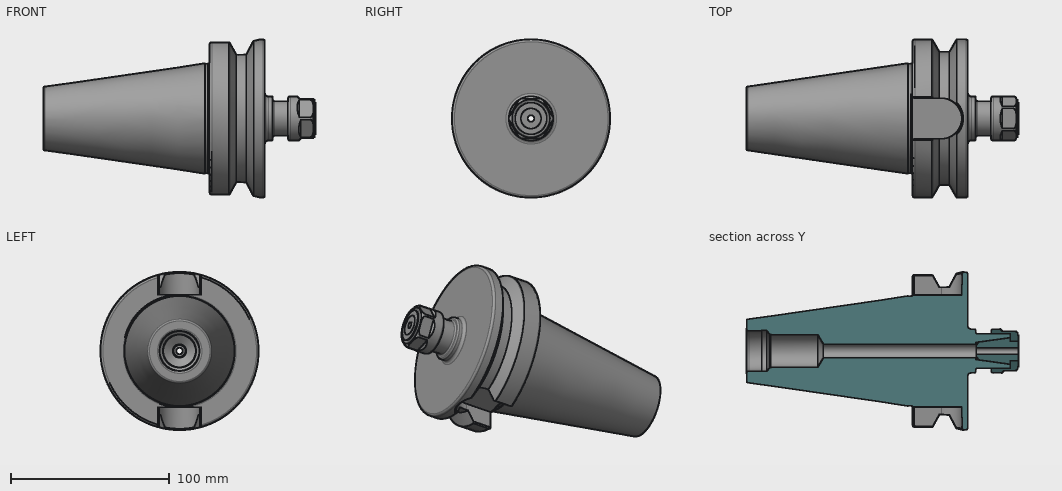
import cadquery as cq
import math


gauge_radius = 69.85 / 2
taper_length = 101.8
shank_end = -taper_length
taper_ratio = 7 / 24
small_end_radius = gauge_radius - taper_length * taper_ratio / 2
small_end_fillet = 1.0
relief_radius = 69.25 / 2
relief_chamfer = gauge_radius - relief_radius

flange_radius = 100 / 2
flange_back = 3.0
flange_front = 38.0
flange_fillet = 1.5
flange_root_fillet = 1.0
groove_center = 23.15
groove_floor_radius = 42.2
groove_floor_width = 6.3
groove_side_angle = 30
groove_lip_chamfer = 0.5
groove_floor_back = groove_center - groove_floor_width / 2
groove_floor_front = groove_center + groove_floor_width / 2
groove_slope = math.tan(math.radians(groove_side_angle))
groove_lip_radius = flange_radius - groove_lip_chamfer
groove_run = (groove_lip_radius - groove_floor_radius) * groove_slope
groove_lip_back = groove_floor_back - groove_run
groove_lip_front = groove_floor_front + groove_run

slot_width = 25.6
slot_floor = 35.4
slot_end = 34.1
slot_edge_chamfer = 1.0

collar_radius = 28 / 2
collar_front = 43.0
collar_root_fillet = 2.0
collar_edge_fillet = 1.0
neck_radius = 22 / 2
neck_root_fillet = 1.0
neck_front = 65.0

bore_radius = 25 / 2
bore_mouth_fillet = 1.5
bore_depth = 9.7
bore_relief_radius = 25.6 / 2
bore_relief_end = 12.8
thread_lead_radius = 21 / 2
thread_radius = 20.5 / 2
thread_lead_length = 0.8
bore_cone_length = 1.8
bore_cone_end = bore_relief_end + bore_cone_length
thread_start = bore_cone_end + thread_lead_length
thread_depth = 45.0
coolant_radius = 8.5 / 2
drill_half_angle = 59

collet_large_radius = 16.65 / 2
collet_small_radius = 10.5 / 2
collet_half_angle = 8
collet_nose_radius = 12.8 / 2
collet_bore_radius = 4 / 2
collet_tip_chamfer = 1.5
collet_slope = math.tan(math.radians(collet_half_angle))
collet_back = neck_front - (collet_large_radius - collet_small_radius) / collet_slope

nut_radius = 28 / 2
nut_back = 52.5
nut_front = 70.0
nut_back_fillet = 1.5
nut_flat_count = 6
nut_across_flats = 25.0
nut_upper_flat_start = 59.8
nut_lower_flat_start = 60.75
nut_flat_runout = 1.5
nut_shoulder = 68.6
nut_shoulder_fillet = 2.0
nut_lip_radius = 20 / 2
nut_lip_height = 0.5
nut_face = nut_front - nut_lip_height
nut_rim_fillet = 0.8
nut_rim_radius = nut_radius - nut_shoulder_fillet


def revolve_about_x(profile):
    return profile.close().revolve(360, (0, 0, 0), (1, 0, 0))


def round_corner(profile, corner, before, after):
    """Draw to a square corner and round it; before and after are offsets from it to the arc's ends."""
    start = (corner[0] + before[0], corner[1] + before[1])
    end = (corner[0] + after[0], corner[1] + after[1])
    center = (start[0] + after[0], start[1] + after[1])
    middle = tuple(c + (p - c) * math.sqrt(0.5) for c, p in zip(center, corner))
    return profile.lineTo(*start).threePointArc(middle, end)


def draw_shank(profile):
    taper_rise = small_end_fillet * taper_ratio / 2
    profile = round_corner(
        profile,
        (shank_end, small_end_radius),
        (0, -small_end_fillet),
        (small_end_fillet, taper_rise),
    )
    return profile.lineTo(0, gauge_radius).lineTo(relief_chamfer, relief_radius)


def draw_flange(profile):
    profile = round_corner(
        profile, (flange_back, relief_radius), (-flange_root_fillet, 0), (0, flange_root_fillet)
    )
    profile = round_corner(profile, (flange_back, flange_radius), (0, -flange_fillet), (flange_fillet, 0))
    profile = (
        profile.lineTo(groove_lip_back - groove_lip_chamfer, flange_radius)
        .lineTo(groove_lip_back, groove_lip_radius)
        .lineTo(groove_floor_back, groove_floor_radius)
        .lineTo(groove_floor_front, groove_floor_radius)
        .lineTo(groove_lip_front, groove_lip_radius)
        .lineTo(groove_lip_front + groove_lip_chamfer, flange_radius)
    )
    return round_corner(profile, (flange_front, flange_radius), (-flange_fillet, 0), (0, -flange_fillet))


def draw_neck(profile):
    profile = round_corner(
        profile, (flange_front, collar_radius), (0, collar_root_fillet), (collar_root_fillet, 0)
    )
    profile = round_corner(
        profile, (collar_front, collar_radius), (-collar_edge_fillet, 0), (0, -collar_edge_fillet)
    )
    profile = round_corner(profile, (collar_front, neck_radius), (0, neck_root_fillet), (neck_root_fillet, 0))
    return profile.lineTo(neck_front, neck_radius)


def holder_blank():
    profile = draw_shank(cq.Workplane("XY").moveTo(shank_end, 0))
    profile = draw_flange(profile)
    profile = draw_neck(profile)
    return revolve_about_x(profile.lineTo(neck_front, 0))


def drive_slot(side):
    half_width = slot_width / 2
    arc_center = slot_end - half_width
    return (
        cq.Workplane("XY", origin=(0, 0, side * slot_floor))
        .moveTo(0, -half_width)
        .lineTo(arc_center, -half_width)
        .threePointArc((slot_end, 0), (arc_center, half_width))
        .lineTo(0, half_width)
        .close()
        .extrude(side * flange_radius)
    )


def is_slot_rim(edge):
    """True for edges where slot walls meet the flange's back face, fillets or rim, but not its V groove."""
    center = edge.Center()
    box = edge.BoundingBox()
    tolerance = 0.01
    floor_clearance = 1.0
    half_width = slot_width / 2
    if abs(center.z) < slot_floor + floor_clearance or center.x < flange_back - tolerance:
        return False
    on_wall = abs(box.ymin - box.ymax) < tolerance and abs(abs(center.y) - half_width) < tolerance
    on_wall_rim = on_wall and box.xmax < groove_lip_back - groove_lip_chamfer / 2
    on_end_rim = box.xmin > groove_lip_front + groove_lip_chamfer / 2 and box.xmax < slot_end + tolerance
    return on_wall_rim or on_end_rim


def drawbar_bore():
    cone_length = (thread_radius - coolant_radius) / math.tan(math.radians(drill_half_angle))
    profile = round_corner(
        cq.Workplane("XY").moveTo(shank_end, 0),
        (shank_end, bore_radius),
        (0, bore_mouth_fillet),
        (bore_mouth_fillet, 0),
    )
    profile = (
        profile.lineTo(shank_end + bore_depth, bore_radius)
        .lineTo(shank_end + bore_depth, bore_relief_radius)
        .lineTo(shank_end + bore_relief_end, bore_relief_radius)
        .lineTo(shank_end + bore_cone_end, thread_lead_radius)
        .lineTo(shank_end + thread_start, thread_lead_radius)
        .lineTo(shank_end + thread_start, thread_radius)
        .lineTo(shank_end + thread_depth, thread_radius)
        .lineTo(shank_end + thread_depth + cone_length, coolant_radius)
        .lineTo(collet_back, coolant_radius)
        .lineTo(collet_back, 0)
    )
    return revolve_about_x(profile)


def collet_seat():
    profile = (
        cq.Workplane("XY")
        .moveTo(collet_back, 0)
        .lineTo(collet_back, collet_small_radius)
        .lineTo(neck_front, collet_large_radius)
        .lineTo(neck_front, 0)
    )
    return revolve_about_x(profile)


def make_holder():
    holder = holder_blank()
    for side in (1, -1):
        holder = holder.cut(drive_slot(side))
    rim = [edge for edge in holder.edges().vals() if is_slot_rim(edge)]
    holder = holder.newObject(rim).chamfer(slot_edge_chamfer)
    return holder.cut(drawbar_bore()).cut(collet_seat())


def make_collet():
    tip_x = collet_back + collet_tip_chamfer
    tip_radius = collet_small_radius + collet_tip_chamfer * collet_slope
    profile = (
        cq.Workplane("XY")
        .moveTo(collet_back, collet_bore_radius)
        .lineTo(collet_back, collet_small_radius - collet_tip_chamfer)
        .lineTo(tip_x, tip_radius)
        .lineTo(neck_front, collet_large_radius)
        .lineTo(neck_front, collet_nose_radius)
        .lineTo(nut_front, collet_nose_radius)
        .lineTo(nut_front, collet_bore_radius)
    )
    return revolve_about_x(profile)


def nut_flat(index):
    """Stock beyond one wrench flat; the stock's rear end slopes outwards."""
    angle = index * 360 / nut_flat_count
    faces_up = math.cos(math.radians(angle)) > 0
    start = nut_upper_flat_start if faces_up else nut_lower_flat_start
    apothem = nut_across_flats / 2
    return (
        cq.Workplane("XZ")
        .moveTo(start, apothem)
        .lineTo(start - nut_flat_runout, nut_radius)
        .lineTo(nut_front, nut_radius)
        .lineTo(nut_front, apothem)
        .close()
        .extrude(nut_radius, both=True)
        .rotate((0, 0, 0), (1, 0, 0), angle)
    )


def make_nut():
    profile = round_corner(
        cq.Workplane("XY").moveTo(nut_back, neck_radius),
        (nut_back, nut_radius),
        (0, -nut_back_fillet),
        (nut_back_fillet, 0),
    )
    profile = round_corner(
        profile, (nut_shoulder, nut_radius), (-nut_shoulder_fillet, 0), (0, -nut_shoulder_fillet)
    )
    profile = round_corner(profile, (nut_face, nut_rim_radius), (-nut_rim_fillet, 0), (0, -nut_rim_fillet))
    profile = (
        profile.lineTo(nut_face, nut_lip_radius)
        .lineTo(nut_front, nut_lip_radius)
        .lineTo(nut_front, collet_nose_radius)
        .lineTo(neck_front, collet_nose_radius)
        .lineTo(neck_front, neck_radius)
    )
    nut = revolve_about_x(profile)
    for index in range(nut_flat_count):
        nut = nut.cut(nut_flat(index))
    return nut


holder = make_holder()
collet = make_collet()
nut = make_nut()

result = cq.Compound.makeCompound([holder.val(), collet.val(), nut.val()])